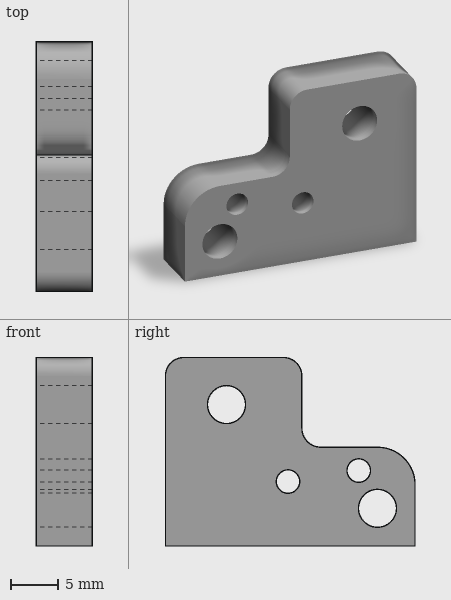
import cadquery as cq

thickness = 6.0
length = 26.5
height = 20.0

shelf_length = 12.0
shelf_height = 10.5
corner_radius = 2.0
shelf_end_radius = 4.0
step_y = length - shelf_length

large_diameter = 4.0
small_diameter = 2.46
shelf_hole_inset = 4.0
large_holes = [
    (6.5, 15.0),
    (length - shelf_hole_inset, shelf_hole_inset),
]
small_holes = [
    (13.0, 6.85),
    (20.5, 8.0),
]


def stepped_plate():
    """L-shaped plate, extruded along X."""
    return (
        cq.Workplane("YZ")
        .moveTo(0, 0)
        .lineTo(length, 0)
        .lineTo(length, shelf_height)
        .lineTo(step_y, shelf_height)
        .lineTo(step_y, height)
        .lineTo(0, height)
        .close()
        .extrude(thickness)
    )


def round_edge(body, y, z, radius):
    """Fillet the X-direction edge that passes through (y, z)."""
    return body.edges(cq.NearestToPointSelector((thickness / 2, y, z))).fillet(radius)


def through_holes(centres, diameter):
    """Cylinders along X that span the full thickness."""
    return cq.Workplane("YZ").pushPoints(centres).circle(diameter / 2).extrude(thickness)


plate = stepped_plate()
plate = round_edge(plate, length, shelf_height, shelf_end_radius)
for edge_y, edge_z in [(step_y, shelf_height), (step_y, height), (0, height)]:
    plate = round_edge(plate, edge_y, edge_z, corner_radius)

plate = plate.cut(through_holes(large_holes, large_diameter))
result = plate.cut(through_holes(small_holes, small_diameter))